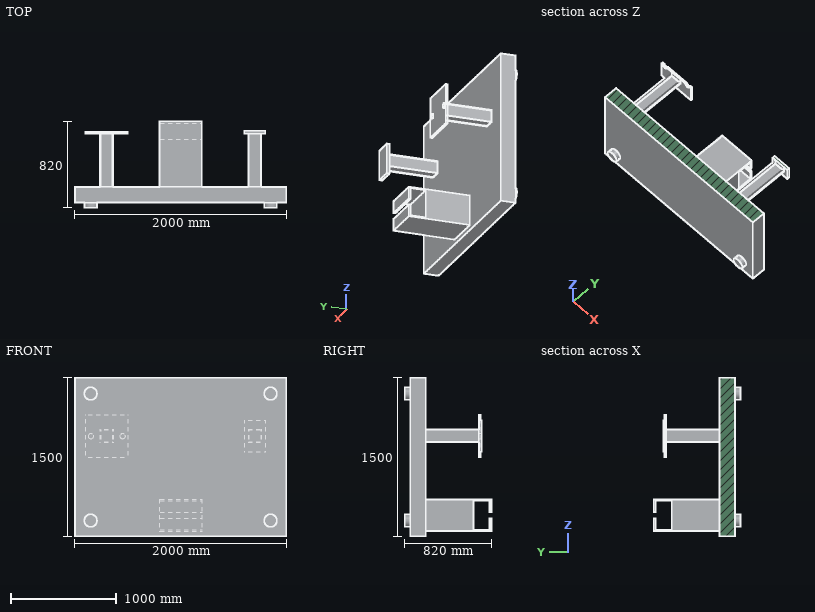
import cadquery as cq

PANEL_WIDTH = 2000.0
PANEL_HEIGHT = 1500.0
PANEL_THICKNESS = 150.0

FOOT_DIAMETER = 120.0
FOOT_HEIGHT = 50.0
FOOT_INSET = 150.0

BRACKET_WIDTH = 400.0
BRACKET_LENGTH = 620.0
BRACKET_HEIGHT = 300.0
BRACKET_BOTTOM = 50.0
BRACKET_WALL = 12.0
LIP_THICKNESS = 20.0
CHANNEL_DEPTH = 150.0
LIP_GAP = 60.0

ARM_SIZE = 125.0
ARM_WALL = 5.0
ARM_LENGTH = 500.0
ARM_Z = 950.0
ARM_INSET = 300.0
WIDE_PLATE_WIDTH = 400.0
WIDE_PLATE_HEIGHT = 400.0
WIDE_PLATE_THICKNESS = 20.0
NARROW_PLATE_WIDTH = 200.0
NARROW_PLATE_HEIGHT = 300.0
NARROW_PLATE_THICKNESS = 30.0
BOLT_HOLE_DIAMETER = 50.0
BOLT_SPACING = 300.0


def box_from_back(width, length, height, x, y, z):
    """Box centred on x and z that extends from y toward +Y."""
    return cq.Workplane("XY").box(width, length, height, centered=(True, False, True)).translate((x, y, z))


def make_bracket():
    """Solid block with a channel at its far end, open through a slot between two lips."""
    center_x = PANEL_WIDTH / 2
    center_z = BRACKET_BOTTOM + BRACKET_HEIGHT / 2
    channel_end = BRACKET_LENGTH - LIP_THICKNESS
    channel_start = channel_end - CHANNEL_DEPTH
    channel_height = BRACKET_HEIGHT - 2 * BRACKET_WALL
    block = box_from_back(BRACKET_WIDTH, BRACKET_LENGTH, BRACKET_HEIGHT, center_x, 0, center_z)
    channel = box_from_back(BRACKET_WIDTH, CHANNEL_DEPTH, channel_height, center_x, channel_start, center_z)
    slot = box_from_back(BRACKET_WIDTH, LIP_THICKNESS, LIP_GAP, center_x, channel_end, center_z)
    return block.cut(channel).cut(slot)


def make_feet():
    """Four round feet near the panel corners."""
    foot_centers = [
        (x, z)
        for x in (FOOT_INSET, PANEL_WIDTH - FOOT_INSET)
        for z in (FOOT_INSET, PANEL_HEIGHT - FOOT_INSET)
    ]
    front_face = cq.Workplane("XZ", origin=(0, -PANEL_THICKNESS, 0))
    return front_face.pushPoints(foot_centers).circle(FOOT_DIAMETER / 2).extrude(FOOT_HEIGHT)


def make_panel():
    """Panel with its feet and bracket."""
    slab = cq.Workplane("XY").box(PANEL_WIDTH, PANEL_THICKNESS, PANEL_HEIGHT, centered=False)
    slab = slab.translate((0, -PANEL_THICKNESS, 0))
    return slab.union(make_feet()).union(make_bracket())


def make_arm(x, plate_width, plate_height, plate_thickness):
    """Square tube closed by a rectangular mounting plate."""
    bar = box_from_back(ARM_SIZE, ARM_LENGTH, ARM_SIZE, x, 0, ARM_Z)
    plate = box_from_back(plate_width, plate_thickness, plate_height, x, ARM_LENGTH, ARM_Z)
    bore_size = ARM_SIZE - 2 * ARM_WALL
    bore = box_from_back(bore_size, ARM_LENGTH, bore_size, x, 0, ARM_Z)
    return bar.cut(bore).union(plate)


def make_wide_arm():
    """Arm whose plate has a bolt hole on each side of the bar."""
    arm = make_arm(ARM_INSET, WIDE_PLATE_WIDTH, WIDE_PLATE_HEIGHT, WIDE_PLATE_THICKNESS)
    hole_centers = [(ARM_INSET + side * BOLT_SPACING / 2, ARM_Z) for side in (-1, 1)]
    plate_back = cq.Workplane("XZ", origin=(0, ARM_LENGTH + WIDE_PLATE_THICKNESS, 0))
    holes = plate_back.pushPoints(hole_centers).circle(BOLT_HOLE_DIAMETER / 2).extrude(WIDE_PLATE_THICKNESS)
    return arm.cut(holes)


def make_narrow_arm():
    """Arm with the small plain plate."""
    x = PANEL_WIDTH - ARM_INSET
    return make_arm(x, NARROW_PLATE_WIDTH, NARROW_PLATE_HEIGHT, NARROW_PLATE_THICKNESS)


panel = make_panel()
wide_arm = make_wide_arm()
narrow_arm = make_narrow_arm()

result = cq.Compound.makeCompound([panel.val(), wide_arm.val(), narrow_arm.val()])